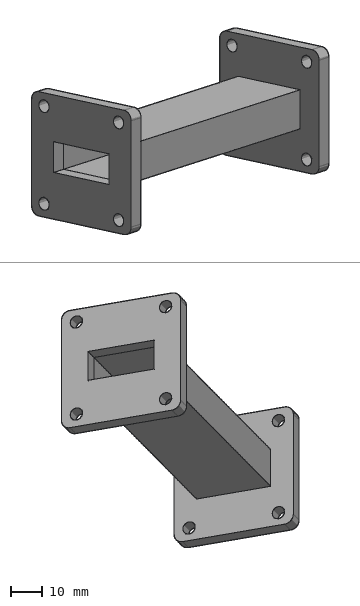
import cadquery as cq

total_length = 100.0
flange_size = 41.4
flange_thickness = 5.0
corner_radius = 3.0

channel_width = 22.9
channel_height = 10.2
wall_thickness = 1.4
tube_width = channel_width + 2 * wall_thickness
tube_height = channel_height + 2 * wall_thickness

hole_diameter = 4.2
hole_spacing_x = 31.0
hole_spacing_z = 32.5

tube_length = total_length - 2 * flange_thickness


def make_tube():
    """Hollow rectangular tube along Y, centred on the origin."""
    outside = cq.Workplane("XY").box(tube_width, tube_length, tube_height)
    channel = cq.Workplane("XY").box(channel_width, tube_length, channel_height)
    return outside.cut(channel)


def make_flange(center_y):
    """Rounded square plate with the channel opening and four bolt holes."""
    plate = (
        cq.Workplane("XY")
        .box(flange_size, flange_thickness, flange_size)
        .edges("|Y")
        .fillet(corner_radius)
    )
    opening = cq.Workplane("XY").box(channel_width, flange_thickness, channel_height)
    bolt_holes = (
        cq.Workplane("XZ")
        .rect(hole_spacing_x, hole_spacing_z, forConstruction=True)
        .vertices()
        .circle(hole_diameter / 2)
        .extrude(flange_thickness / 2, both=True)
    )
    return plate.cut(opening).cut(bolt_holes).translate((0, center_y, 0))


tube = make_tube()
flange_offset = (total_length - flange_thickness) / 2
flanges = [make_flange(side * flange_offset) for side in (-1, 1)]

result = cq.Compound.makeCompound([tube.val(), *[flange.val() for flange in flanges]])